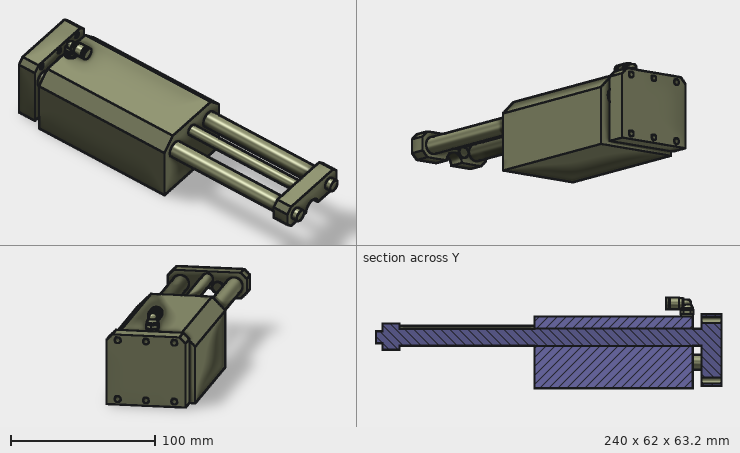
import cadquery as cq
import math

total_length = 240.0

housing_start = 20.0
housing_length = 110.0
housing_width = 62.0
housing_height = 50.0
housing_chamfer = 9.5
housing_end = housing_start + housing_length

plate_width = 56.0
rear_plate_thickness = 14.0
rear_plate_height = 50.0
rear_plate_lift = 1.5
rear_plate_chamfer = 4.25
hole_pitch_y = 20.0
hole_pitch_z = 42.0
corner_hole_diameter = 4.2
middle_hole_diameter = 4.0

front_plate_start = 223.5
front_plate_thickness = 12.0
front_plate_bottom = 26.6
front_plate_height = 18.4
front_plate_chamfer = 4.25
front_plate_end = front_plate_start + front_plate_thickness
notch_radius = 6.6
bumper_diameter = 7.8
bumper_height = 1.3
bumper_y = -7.5
bumper_z = 34.0

rod_diameter = 12.0
rod_spacing = 38.0
rod_z = 35.5
stub_diameter = 8.5
piston_rod_diameter = 8.0
piston_rod_z = 39.5
lower_post_diameter = 10.6
lower_post_z = 18.0

fitting_x = 24.0
fitting_top = 63.2
base_ring_diameter = 8.5
base_ring_height = 1.6
hex_across_flats = 8.0
hex_height = 2.8
elbow_diameter = 5.7
shoulder_diameter = 8.0
shoulder_top = 55.8
shoulder_cone_height = 2.4
collar_diameter = 7.1
collar_start = 26.5
neck_diameter = 7.8
neck_start = 27.2
sleeve_diameter = 8.5
sleeve_start = 29.6
sleeve_length = 6.3
groove_length = 1.0
end_ring_length = 1.8
sleeve_z = fitting_top - sleeve_diameter / 2


def x_cylinder(diameter, start, end, y, z):
    """Round bar along X from start to end."""
    return cq.Workplane("YZ", origin=(start, y, z)).circle(diameter / 2).extrude(end - start)


def z_cylinder(diameter, bottom, top):
    """Round bar along Z on the upright axis of the fitting."""
    return cq.Workplane("XY", origin=(fitting_x, 0, bottom)).circle(diameter / 2).extrude(top - bottom)


def block(start, length, width, bottom, height):
    """Box centred on the Y axis and standing on the level 'bottom'."""
    box = cq.Workplane("XY").box(length, width, height, centered=(False, True, False))
    return box.translate((start, 0, bottom))


def make_fitting():
    """Push-in elbow: hexagonal foot, ball corner and a sleeve pointing along +X."""
    hex_bottom = housing_height + base_ring_height
    hex_top = hex_bottom + hex_height
    hex_corners = hex_across_flats / math.cos(math.pi / 6)
    foot = z_cylinder(base_ring_diameter, housing_height, hex_bottom)
    hexagon = cq.Workplane("XY", origin=(fitting_x, 0, hex_bottom)).polygon(6, hex_corners).extrude(hex_height)
    shoulder = z_cylinder(shoulder_diameter, hex_top, shoulder_top)
    cone = (
        cq.Workplane("XY", origin=(fitting_x, 0, shoulder_top))
        .circle(shoulder_diameter / 2)
        .workplane(offset=shoulder_cone_height)
        .circle(elbow_diameter / 2)
        .loft()
    )
    riser = z_cylinder(elbow_diameter, shoulder_top, sleeve_z)
    corner = cq.Workplane("XY", origin=(fitting_x, 0, sleeve_z)).sphere(elbow_diameter / 2)
    branch = x_cylinder(elbow_diameter, fitting_x, collar_start, 0, sleeve_z)

    sleeve_end = sleeve_start + sleeve_length
    ring_start = sleeve_end + groove_length
    ring_end = ring_start + end_ring_length
    collar = x_cylinder(collar_diameter, collar_start, neck_start, 0, sleeve_z)
    neck = x_cylinder(neck_diameter, neck_start, sleeve_start, 0, sleeve_z)
    sleeve = x_cylinder(sleeve_diameter, sleeve_start, sleeve_end, 0, sleeve_z)
    groove = x_cylinder(neck_diameter, sleeve_end, ring_start, 0, sleeve_z)
    end_ring = x_cylinder(sleeve_diameter, ring_start, ring_end, 0, sleeve_z)

    fitting = foot
    for piece in (hexagon, shoulder, cone, riser, corner, branch, collar, neck, sleeve, groove, end_ring):
        fitting = fitting.union(piece)
    return fitting


def make_housing():
    """Cylinder housing with chamfered top edges, two guide bores and the elbow fitting."""
    housing = block(housing_start, housing_length, housing_width, 0, housing_height)
    housing = housing.faces(">Z").edges("|X").chamfer(housing_chamfer)
    for side in (-1, 1):
        bore = x_cylinder(rod_diameter, housing_start, housing_end, side * rod_spacing / 2, rod_z)
        housing = housing.cut(bore)
    return housing.union(make_fitting())


def make_rear_plate():
    """Rear plate with chamfered top corners and two rows of three holes."""
    plate = block(0, rear_plate_thickness, plate_width, rear_plate_lift, rear_plate_height)
    plate = plate.faces(">Z").edges("|X").chamfer(rear_plate_chamfer)
    middle_z = rear_plate_lift + rear_plate_height / 2
    for row in (-1, 1):
        for column in (-1, 0, 1):
            diameter = corner_hole_diameter if column else middle_hole_diameter
            hole_z = middle_z + row * hole_pitch_z / 2
            plate = plate.cut(x_cylinder(diameter, 0, rear_plate_thickness, column * hole_pitch_y, hole_z))
    return plate


def make_front_plate():
    """Front plate with chamfered corners, a round notch below and a small bumper behind."""
    plate = block(front_plate_start, front_plate_thickness, plate_width, front_plate_bottom, front_plate_height)
    plate = plate.edges("|X").chamfer(front_plate_chamfer)
    notch = x_cylinder(2 * notch_radius, front_plate_start, front_plate_end, 0, front_plate_bottom)
    bumper_start = front_plate_start - bumper_height
    bumper = x_cylinder(bumper_diameter, bumper_start, front_plate_start, bumper_y, bumper_z)
    return plate.cut(notch).union(bumper)


def make_carriage():
    """Moving frame: both plates, the guide rods that join them and the rods along the middle."""
    carriage = make_rear_plate().union(make_front_plate())
    for side in (-1, 1):
        rod_y = side * rod_spacing / 2
        rod = x_cylinder(rod_diameter, rear_plate_thickness, front_plate_start, rod_y, rod_z)
        stub = x_cylinder(stub_diameter, front_plate_end, total_length, rod_y, rod_z)
        carriage = carriage.union(rod).union(stub)
    upper_post = x_cylinder(rod_diameter, rear_plate_thickness, housing_start, 0, rod_z)
    lower_post = x_cylinder(lower_post_diameter, rear_plate_thickness, housing_start, 0, lower_post_z)
    piston_rod = x_cylinder(piston_rod_diameter, housing_end, front_plate_start, 0, piston_rod_z)
    return carriage.union(upper_post).union(lower_post).union(piston_rod)


housing = make_housing()
carriage = make_carriage()

result = cq.Compound.makeCompound([housing.val(), carriage.val()])